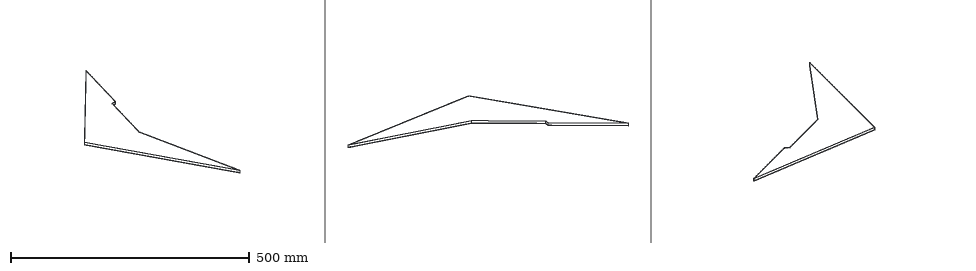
import cadquery as cq

length = 498.0
width = 334.0
thickness = 6.0

heel_x = 142.0
elbow_x = 226.0
elbow_y = 94.0

step_outer_x = 119.5
step_outer_y = 214.5
step_inner_x = 116.5
step_inner_y = 203.5

outline = [
    (heel_x, 0),
    (length, 0),
    (elbow_x, elbow_y),
    (step_inner_x, step_inner_y),
    (step_outer_x, step_outer_y),
    (0, width),
]

result = cq.Workplane("XY").polyline(outline).close().extrude(thickness)